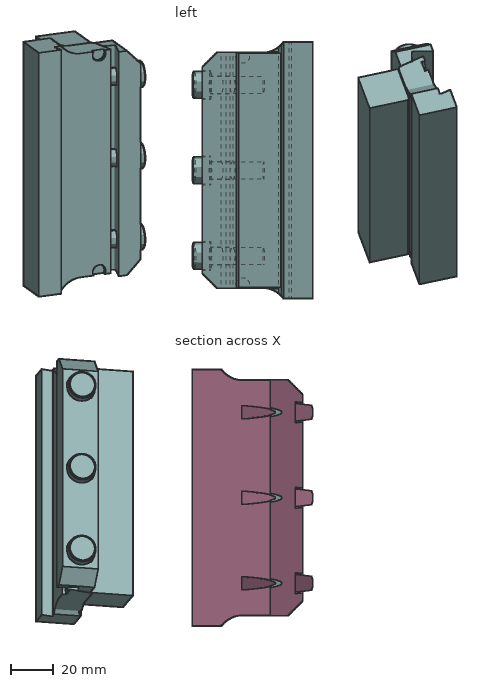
import cadquery as cq
import math

block_length = 120.0
block_right = 38.2
block_left = 19.9
seat_x = 32.9
wedge_angle = 15.0

hook_tip_y = 11.4
hook_root_radius = 0.7
hook_root_undercut = 0.2
wedge_tip_y = 39.0
wedge_start_x = 20.3

shank_front_y = 15.0
shank_width = 19.8
shank_inset = 5.3
shank_chamfer = 0.6

relief_width = 2.0
relief_depth = 0.7

end_step = 4.9
runout_radius = 12.0
foot_y = 13.8

recess_diameter = 6.6
recess_chord = 5.8
recess_y = 33.0
recess_depth = 1.8

clamp_inset = 4.8
clamp_left = 21.0
clamp_top_y = 51.8
clamp_chamfer = 7.0
jaw_tip_y = 40.7
jaw_heel_x = 27.1
jaw_wall_lean = 11.0
jaw_fillet = 1.3

screw_tilt = 5.0
screw_spacing = 40.0
screw_top_x = 29.6
screw_top_y = 56.0
head_diameter = 12.8
head_height = 8.0
head_chamfer = 0.6
screw_diameter = 8.0
screw_length = 25.0
clearance_diameter = 8.5
counterbore_diameter = 13.5

wedge_slope = math.tan(math.radians(wedge_angle))
shank_back_y = shank_front_y + shank_width
mid_z = block_length / 2
screw_tip = -head_height - screw_length
screw_heights = [mid_z + i * screw_spacing for i in (-1, 0, 1)]


def wedge_y(x):
    """Y of the sloped wedge face at a given X."""
    return wedge_tip_y - (seat_x - x) * wedge_slope


def both_ends(cutter):
    """Return a lower-end cutter together with its mirror image at the upper end."""
    return cutter, cutter.mirror("XY", (0, 0, mid_z))


def screw_cylinder(radius, bottom, top, center_z):
    """Cylinder on a screw's tilted axis; bottom and top are measured from the head's top face."""
    tilt = math.radians(screw_tilt)
    axis = cq.Vector(math.sin(tilt), math.cos(tilt), 0)
    base = cq.Vector(screw_top_x, screw_top_y, center_z) + axis * bottom
    return cq.Workplane(cq.Plane(base, (0, 0, 1), axis)).circle(radius).extrude(top - bottom)


def block_blank():
    root_x = seat_x + hook_root_radius - hook_root_undercut
    slope_normal = (math.sin(math.radians(wedge_angle)), math.cos(math.radians(wedge_angle)))
    root_y = hook_tip_y - (block_right - root_x) * wedge_slope + hook_root_radius / slope_normal[1]
    slope_end = (root_x + hook_root_radius * slope_normal[0], root_y - hook_root_radius * slope_normal[1])
    seat_start_y = root_y + math.sqrt(hook_root_radius ** 2 - (root_x - seat_x) ** 2)
    outline = (
        cq.Workplane("XY")
        .moveTo(block_left, 0)
        .lineTo(block_right, 0)
        .lineTo(block_right, hook_tip_y)
        .lineTo(*slope_end)
        .threePointArc((root_x - hook_root_radius, root_y), (seat_x, seat_start_y))
        .lineTo(seat_x, wedge_tip_y)
        .lineTo(wedge_start_x, wedge_y(wedge_start_x))
        .lineTo(block_left, shank_back_y)
        .close()
    )
    return outline.extrude(block_length)


def end_cutter():
    """Removes the lower end beside the foot, with the concave run-out."""
    reach = runout_radius - end_step
    tangent_y = foot_y + math.sqrt(runout_radius ** 2 - reach ** 2)
    half_angle = math.asin((tangent_y - foot_y) / runout_radius) / 2
    arc_middle = (
        tangent_y - runout_radius * math.sin(half_angle),
        end_step - runout_radius * (1 - math.cos(half_angle)),
    )
    side = (
        cq.Workplane("YZ")
        .moveTo(foot_y, 0)
        .threePointArc(arc_middle, (tangent_y, end_step))
        .lineTo(wedge_tip_y, end_step)
        .lineTo(wedge_tip_y, 0)
        .close()
    )
    return side.extrude(block_right)


def shank():
    root_inset = shank_inset - shank_chamfer
    outline = [
        (0, shank_inset),
        (block_left - shank_chamfer, shank_inset),
        (block_left, root_inset),
        (block_left, block_length - root_inset),
        (block_left - shank_chamfer, block_length - shank_inset),
        (0, block_length - shank_inset),
    ]
    plane = cq.Workplane("XZ").workplane(offset=-shank_front_y)
    return plane.polyline(outline).close().extrude(-shank_width)


def relief_groove():
    corner = cq.Workplane("XY").center(block_left, shank_front_y).transformed(rotate=(0, 0, 45))
    return corner.rect(2 * relief_depth, relief_width).extrude(block_length)


def seat_recess():
    """Round recess at the lower end of the seat."""
    rise = math.sqrt(recess_diameter ** 2 - recess_chord ** 2) / 2
    plane = cq.Workplane("YZ").workplane(offset=seat_x - recess_depth)
    return plane.center(recess_y, end_step + rise).circle(recess_diameter / 2).extrude(recess_depth)


block = block_blank().union(shank())
for cutter in both_ends(end_cutter()):
    block = block.cut(cutter)
block = block.cut(relief_groove())
for recess in both_ends(seat_recess()):
    block = block.cut(recess)


def clamp_bar():
    jaw_slope_y = jaw_tip_y + (block_right - jaw_heel_x) * wedge_slope
    lean = math.tan(math.radians(jaw_wall_lean))
    heel_y = wedge_y(jaw_heel_x)
    rise = (jaw_slope_y - heel_y) / (1 + lean * wedge_slope)
    jaw_root = (jaw_heel_x + rise * lean, heel_y + rise)
    outline = [
        (clamp_left, clamp_top_y),
        (block_right, clamp_top_y),
        (block_right, jaw_tip_y),
        jaw_root,
        (jaw_heel_x, heel_y),
        (clamp_left, wedge_y(clamp_left)),
    ]
    plane = cq.Workplane("XY").workplane(offset=clamp_inset)
    bar = plane.polyline(outline).close().extrude(block_length - 2 * clamp_inset)
    bar = bar.edges(cq.selectors.NearestToPointSelector((*jaw_root, mid_z))).fillet(jaw_fillet)
    outer_corners = bar.faces(">Y").edges("|X")
    return outer_corners.chamfer(clamp_chamfer)


clamp = clamp_bar()


def screw(center_z):
    head = screw_cylinder(head_diameter / 2, -head_height, 0, center_z)
    head = head.faces(">Y").edges().chamfer(head_chamfer)
    return head.union(screw_cylinder(screw_diameter / 2, screw_tip, -head_height, center_z))


screws = []
for z in screw_heights:
    screws.append(screw(z))
    clamp = clamp.cut(screw_cylinder(counterbore_diameter / 2, -head_height, 0, z))
    clamp = clamp.cut(screw_cylinder(clearance_diameter / 2, screw_tip, -head_height, z))
    block = block.cut(screw_cylinder(screw_diameter / 2, screw_tip, -head_height, z))

result = cq.Compound.makeCompound([block.val(), clamp.val(), *[s.val() for s in screws]])